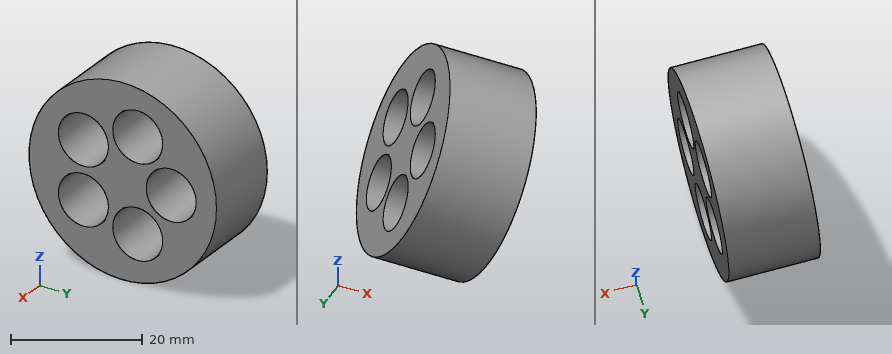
import cadquery as cq

DISC_DIAMETER = 33.8
DISC_THICKNESS = 14.5
HOLE_DIAMETER = 9.0
HOLE_COUNT = 5
HOLE_CIRCLE_RADIUS = 8.75
FULL_TURN = 360.0


def make_disc():
    """Round disc whose axis is X, starting at X = 0."""
    return cq.Workplane("YZ").circle(DISC_DIAMETER / 2).extrude(DISC_THICKNESS)


def make_holes():
    """Ring of equally spaced through holes, the first one on the +Y axis."""
    return (
        cq.Workplane("YZ")
        .polarArray(HOLE_CIRCLE_RADIUS, 0, FULL_TURN, HOLE_COUNT)
        .circle(HOLE_DIAMETER / 2)
        .extrude(DISC_THICKNESS)
    )


result = make_disc().cut(make_holes())